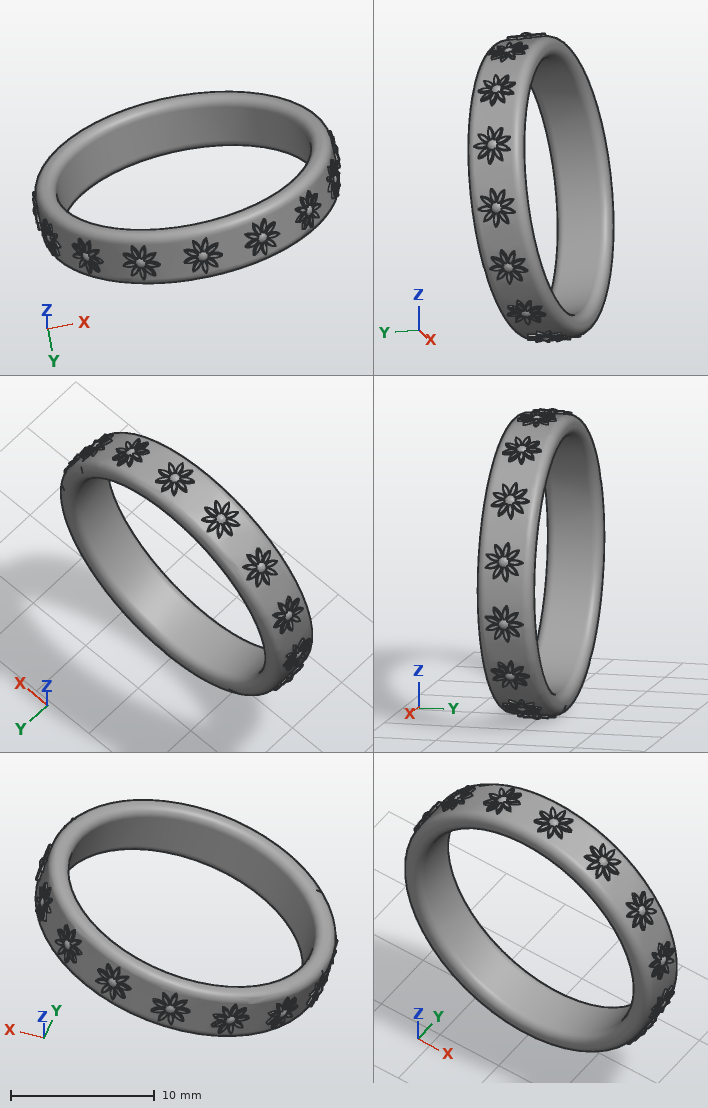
import cadquery as cq
INNER_RADIUS = 9.0
OUTER_RADIUS = 10.5
BAND_WIDTH = 4.0
EDGE_ROUND = 0.65

FLOWER_COUNT = 15
FLOWER_PITCH = 360 / FLOWER_COUNT
FIRST_FLOWER_ANGLE = 180
FLOWER_BASE = 10.25

PETAL_COUNT = 9
PETAL_PITCH = 360 / PETAL_COUNT
PETAL_TOP = 10.69
PETAL_ROOT = 0.22
PETAL_TIP = 1.35
PETAL_WIDTH = 0.37
BEVEL_WIDTH = 0.05
BEVEL_HEIGHT = 0.06

HUB_RADIUS = 0.43
HUB_SHOULDER = 10.62
HUB_TOP = 10.84
HUB_FLAT_RADIUS = 0.097
DOME_MID_RADIUS = 0.3
DOME_MID_HEIGHT = 10.75


def make_band():
    """Plain band with all four rims rounded."""
    return (
        cq.Workplane("XZ", origin=(0, BAND_WIDTH / 2, 0))
        .circle(OUTER_RADIUS)
        .circle(INNER_RADIUS)
        .extrude(BAND_WIDTH)
        .edges("%CIRCLE")
        .fillet(EDGE_ROUND)
    )


def make_petal():
    """One petal pointing along +Y, of a flower facing +Z, with a bevelled top edge."""
    middle = (PETAL_ROOT + PETAL_TIP) / 2
    return (
        cq.Workplane("XY", origin=(0, 0, FLOWER_BASE))
        .moveTo(0, PETAL_ROOT)
        .threePointArc((PETAL_WIDTH / 2, middle), (0, PETAL_TIP))
        .threePointArc((-PETAL_WIDTH / 2, middle), (0, PETAL_ROOT))
        .close()
        .extrude(PETAL_TOP - FLOWER_BASE)
        .faces(">Z")
        .chamfer(BEVEL_HEIGHT, BEVEL_WIDTH)
    )


def make_hub():
    """Hub of a flower facing +Z; its dome ends in the flat."""
    return (
        cq.Workplane("XZ")
        .moveTo(0, FLOWER_BASE)
        .lineTo(HUB_RADIUS, FLOWER_BASE)
        .lineTo(HUB_RADIUS, HUB_SHOULDER)
        .threePointArc((DOME_MID_RADIUS, DOME_MID_HEIGHT), (HUB_FLAT_RADIUS, HUB_TOP))
        .lineTo(0, HUB_TOP)
        .close()
        .revolve(360, (0, 0, 0), (0, 1, 0))
    )


def make_flower():
    """Hub and petals facing +Z, with one petal pointing along +Y."""
    flower = make_hub()
    petal = make_petal()
    for index in range(PETAL_COUNT):
        flower = flower.union(petal.rotate((0, 0, 0), (0, 0, 1), index * PETAL_PITCH))
    return flower


def place_flower(flower, angle):
    """Turn a +Z-facing flower about the Y axis to an angle measured from +X towards +Z."""
    return flower.rotate((0, 0, 0), (0, 1, 0), 90 - angle)


result = make_band()
flower = make_flower()
for index in range(FLOWER_COUNT):
    result = result.union(place_flower(flower, FIRST_FLOWER_ANGLE + index * FLOWER_PITCH))